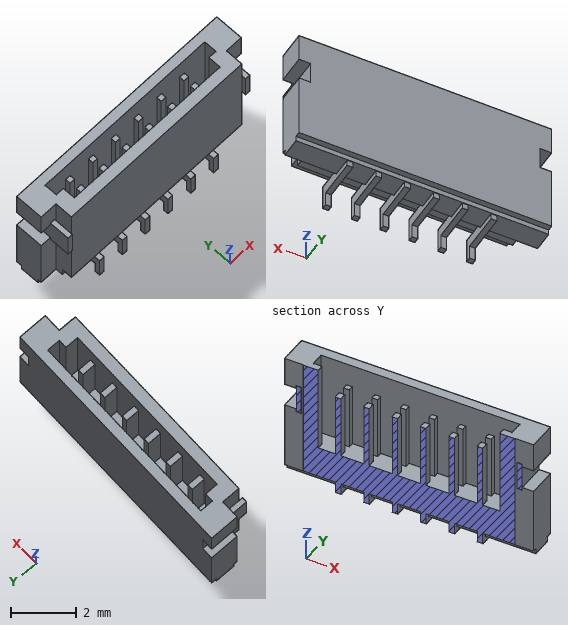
import cadquery as cq


housing_length = 8.8
total_height = 5.0
rear_depth = 1.05
front_depth = 1.71
front_length = 7.5
housing_bottom = 0.9
front_bottom = 1.2
lip_start_depth = 1.32

rail_bottom = 0.71
rail_rear = 0.19
rail_front = 0.915

cavity_rear = 0.35
cavity_step = 0.83
cavity_front = 1.3
cavity_rear_length = 7.02
cavity_front_length = 6.41
cavity_depth = 2.99

clip_thickness = 0.185
clip_inset = 0.405
clip_height = 1.0
clip_center_z = 3.6
notch_height = 0.79
overall_depth = 1.8

contact_count = 6
contact_pitch = 1.0
contact_width = 0.2
blade_thickness = 0.185
tip_drop = 0.8
prong_rear = 0.81
tail_rear = 0.22
tail_bottom = 0.5
leg_thickness = 0.19

cavity_floor = total_height - cavity_depth
clip_outer_x = housing_length / 2 - clip_inset


def block(x_range, depth_range, z_range):
    """Box between two X values, two depths measured forward from the rear face, and two heights."""
    x_low, x_high = x_range
    rear, front = depth_range
    z_low, z_high = z_range
    size = (x_high - x_low, front - rear, z_high - z_low)
    return cq.Workplane("XY").box(*size, centered=False).translate((x_low, -front, z_low))


def centered_block(length, depth_range, z_range):
    """Box of the given length, symmetric about X = 0."""
    return block((-length / 2, length / 2), depth_range, z_range)


def make_housing():
    rear_part = centered_block(housing_length, (0, rear_depth), (housing_bottom, total_height))
    front_part = centered_block(front_length, (0, front_depth), (front_bottom, total_height))
    lip_root = centered_block(front_length, (0, lip_start_depth), (housing_bottom, total_height))
    rail = centered_block(housing_length, (rail_rear, rail_front), (rail_bottom, housing_bottom))
    return rear_part.union(front_part).union(lip_root).union(rail)


def make_cavity():
    z_range = (cavity_floor, total_height)
    wide_part = centered_block(cavity_rear_length, (cavity_rear, cavity_step), z_range)
    narrow_part = centered_block(cavity_front_length, (cavity_rear, cavity_front), z_range)
    return wide_part.union(narrow_part)


def clip_band(height):
    """Height range centred on the clips."""
    return (clip_center_z - height / 2, clip_center_z + height / 2)


def make_notch():
    """Opening in the +X end of the rear part that exposes the clip."""
    return block((clip_outer_x, housing_length / 2), (0, rear_depth), clip_band(notch_height))


def make_clip():
    """Upright plate at the +X end, standing out in front of the rear part."""
    x_range = (clip_outer_x - clip_thickness, clip_outer_x)
    return block(x_range, (0, overall_depth), clip_band(clip_height))


def make_contact(x_center):
    """Two prongs in the cavity above a tail that bends down into a solder leg."""
    x_range = (x_center - contact_width / 2, x_center + contact_width / 2)
    prong_heights = (cavity_floor, total_height - tip_drop)
    blade = block(x_range, (cavity_rear, cavity_rear + blade_thickness), prong_heights)
    prong = block(x_range, (prong_rear, cavity_front), prong_heights)
    tail = block(x_range, (tail_rear, overall_depth), (tail_bottom, housing_bottom))
    leg = block(x_range, (overall_depth - leg_thickness, overall_depth), (0, housing_bottom))
    return blade.union(prong).union(tail).union(leg)


result = make_housing().cut(make_cavity())

notch = make_notch()
clip = make_clip()
result = result.cut(notch).cut(notch.mirror("YZ"))
result = result.union(clip).union(clip.mirror("YZ"))

for index in range(contact_count):
    offset = index - (contact_count - 1) / 2
    result = result.union(make_contact(offset * contact_pitch))